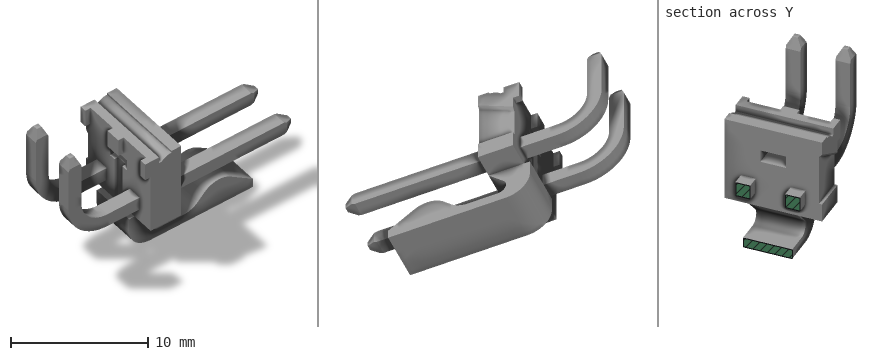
import cadquery as cq
import math


body_width = 7.77
body_depth = 2.8
body_height = 6.88
lug_reach = 0.5
lug_height = 1.55
edge_lug_width = 0.55
middle_lug_width = 1.3

groove_front = 0.76
groove_flat_end = 1.0
groove_back = 1.92
groove_depth = 0.55
groove_back_step = 0.16

window_width = 2.04
window_bottom = 3.91
window_top = 4.9
slot_width = 0.95
slot_depth = 0.33

recess_depth = 0.25
recess_bottom = 1.48
recess_front_top = 4.05
recess_back_top = 5.55
recess_flare = 0.29

pin_size = 1.17
pin_pitch = 3.95
pin_axis_z = 1.75
pin_back = 14.11
pin_front = -6.49
pin_top = 9.4
bend_outer_radius = 3.55
tip_size = 0.43
long_taper = 0.9
short_taper = 0.65

latch_width = 3.91
latch_bottom = -3.15
latch_end = 10.82
arm_thickness = 0.8
outer_bend_radius = 1.92
inner_bend_radius = 0.68
hump_start = 4.47
hump_slope_run = 0.62
hump_radius = 1.85
hump_back_angle = 33


def block(width, y_min, y_max, z_min, z_max, x_center=0):
    """Box centred on x_center across X, with given limits in Y and Z."""
    return (
        cq.Workplane("XY")
        .box(width, y_max - y_min, z_max - z_min, centered=(True, False, False))
        .translate((x_center, y_min, z_min))
    )


def on_circle(center, radius, degrees):
    """Point on a circle in the YZ plane, angle measured from +Y towards +Z."""
    angle = math.radians(degrees)
    return (center[0] + radius * math.cos(angle), center[1] + radius * math.sin(angle))


def make_top_groove():
    rise = groove_depth - groove_back_step
    run = groove_back - groove_flat_end
    floor = body_height - groove_depth
    crest = (groove_back, body_height - groove_back_step)
    radius = (rise**2 + run**2) / (2 * rise)
    center = (groove_back, crest[1] - radius)
    half_sweep = math.degrees(math.asin(run / radius)) / 2
    return (
        cq.Workplane("YZ")
        .moveTo(groove_front, body_height)
        .lineTo(groove_front, floor)
        .lineTo(groove_flat_end, floor)
        .threePointArc(on_circle(center, radius, 90 + half_sweep), crest)
        .lineTo(groove_back, body_height)
        .close()
        .extrude(body_width / 2, both=True)
    )


def make_side_recess():
    side = -body_width / 2
    front_outline = [
        (side, recess_bottom),
        (side + recess_depth, recess_bottom),
        (side + recess_depth, recess_front_top),
        (side, recess_front_top + recess_flare),
    ]
    back_rise = recess_back_top - recess_front_top
    back_outline = front_outline[:2] + [(x, z + back_rise) for x, z in front_outline[2:]]
    return (
        cq.Workplane("XZ")
        .polyline(front_outline)
        .close()
        .workplane(offset=-body_depth)
        .polyline(back_outline)
        .close()
        .loft(ruled=True)
    )


def make_housing():
    housing = block(body_width, 0, body_depth, 0, body_height)
    edge_lug_x = (body_width - edge_lug_width) / 2
    lugs = [
        (-edge_lug_x, edge_lug_width),
        (0, middle_lug_width),
        (edge_lug_x, edge_lug_width),
    ]
    for x, width in lugs:
        housing = housing.union(
            block(width, -lug_reach, 0, body_height - lug_height, body_height, x)
        )
    housing = housing.cut(make_top_groove()).cut(make_side_recess())
    housing = housing.cut(block(window_width, 0, body_depth, window_bottom, window_top))
    return housing.cut(block(slot_width, 0, slot_depth, 0, window_bottom))


def make_latch():
    arm_top = latch_bottom + arm_thickness
    front = -lug_reach
    outer_center = (front + outer_bend_radius, latch_bottom + outer_bend_radius)

    inner_z = arm_top + inner_bend_radius
    inner_y = body_depth + inner_z + inner_bend_radius * math.sqrt(2)
    inner_center = (inner_y, inner_z)

    hollow_center = (hump_start, arm_top + hump_radius)
    slope_start = on_circle(hollow_center, hump_radius, -45)
    slope_end = (slope_start[0] + hump_slope_run, slope_start[1] + hump_slope_run)
    crest_offset = hump_radius * math.sqrt(0.5)
    crest_center = (slope_end[0] + crest_offset, slope_end[1] - crest_offset)

    return (
        cq.Workplane("YZ")
        .moveTo(body_depth, 0)
        .lineTo(*on_circle(inner_center, inner_bend_radius, 135))
        .threePointArc(
            on_circle(inner_center, inner_bend_radius, 200),
            on_circle(inner_center, inner_bend_radius, 270),
        )
        .lineTo(hump_start, arm_top)
        .threePointArc(on_circle(hollow_center, hump_radius, -70), slope_start)
        .lineTo(*slope_end)
        .threePointArc(
            on_circle(crest_center, hump_radius, 90),
            on_circle(crest_center, hump_radius, 90 - hump_back_angle),
        )
        .lineTo(latch_end, arm_top)
        .lineTo(latch_end, latch_bottom)
        .lineTo(outer_center[0], latch_bottom)
        .threePointArc(
            on_circle(outer_center, outer_bend_radius, 225),
            (front, outer_center[1]),
        )
        .lineTo(front, 0)
        .close()
        .extrude(latch_width / 2, both=True)
    )


def make_pin():
    half = pin_size / 2
    inset = (pin_size - tip_size) / 2
    low = pin_axis_z - half
    high = pin_axis_z + half
    inner_face = pin_front + pin_size
    bend_center = (pin_front + bend_outer_radius, low + bend_outer_radius)
    bend_inner_radius = bend_outer_radius - pin_size
    pin = (
        cq.Workplane("YZ")
        .moveTo(pin_back, low + inset)
        .lineTo(pin_back - long_taper, low)
        .lineTo(bend_center[0], low)
        .threePointArc(
            on_circle(bend_center, bend_outer_radius, 225),
            (pin_front, bend_center[1]),
        )
        .lineTo(pin_front, pin_top - long_taper)
        .lineTo(pin_front + inset, pin_top)
        .lineTo(inner_face - inset, pin_top)
        .lineTo(inner_face, pin_top - long_taper)
        .lineTo(inner_face, bend_center[1])
        .threePointArc(
            on_circle(bend_center, bend_inner_radius, 225),
            (bend_center[0], high),
        )
        .lineTo(pin_back - long_taper, high)
        .lineTo(pin_back, high - inset)
        .close()
        .extrude(half, both=True)
    )
    for side in (-1, 1):
        edge = side * half
        tip_edge = side * tip_size / 2
        back_wedge = (
            cq.Workplane("XY", origin=(0, 0, pin_axis_z))
            .polyline([(edge, pin_back - short_taper), (edge, pin_back), (tip_edge, pin_back)])
            .close()
            .extrude(half, both=True)
        )
        top_wedge = (
            cq.Workplane("XZ", origin=(0, pin_front + half, 0))
            .polyline([(edge, pin_top - short_taper), (edge, pin_top), (tip_edge, pin_top)])
            .close()
            .extrude(half, both=True)
        )
        pin = pin.cut(back_wedge).cut(top_wedge)
    return pin


result = make_housing().union(make_latch())
for pin_x in (-pin_pitch / 2, pin_pitch / 2):
    result = result.union(make_pin().translate((pin_x, 0, 0)))